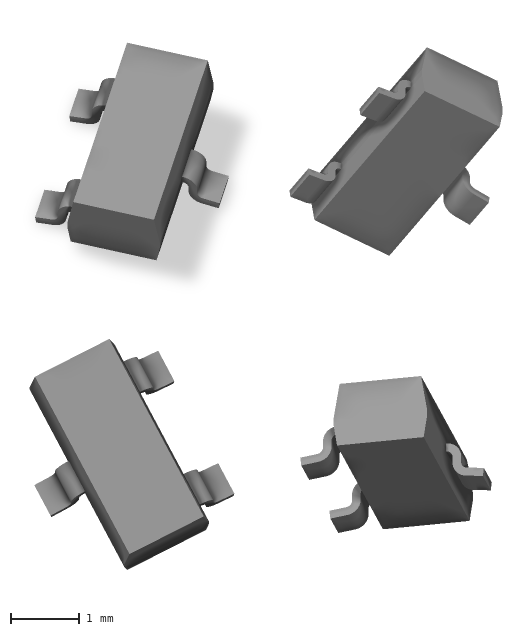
import cadquery as cq
import math

LENGTH = 3.0
BELT_WIDTH = 1.4
TOP_WIDTH = 1.225
BASE_WIDTH = 1.302
TOP_Z = 1.12
BASE_Z = 0.13

LEAD_SPAN = 2.54
LEAD_THICKNESS = 0.13
LEAD_WIDTH = 0.515
LEAD_PITCH = 0.95
LEAD_TOP_Z = 0.582
INNER_BEND_RADIUS = 0.1
SHANK_HEIGHT = 0.095
FOOT_ANGLE = math.radians(7)

BELT_TOP_Z = LEAD_TOP_Z
BELT_BOTTOM_Z = LEAD_TOP_Z - LEAD_THICKNESS

OUTER_BEND_RADIUS = INNER_BEND_RADIUS + LEAD_THICKNESS


def make_housing():
    """Six-sided end profile extruded over the full length."""
    profile = [
        (BASE_WIDTH / 2, BASE_Z),
        (BELT_WIDTH / 2, BELT_BOTTOM_Z),
        (BELT_WIDTH / 2, BELT_TOP_Z),
        (TOP_WIDTH / 2, TOP_Z),
    ]
    mirrored = [(-x, z) for x, z in reversed(profile)]
    return cq.Workplane("XZ").polyline(profile + mirrored).close().extrude(LENGTH / 2, both=True)


def around(center, radius, angle):
    """Point at the given angle (radians, from +X towards +Z) on a circle in XZ."""
    return (center[0] + radius * math.cos(angle), center[1] + radius * math.sin(angle))


def make_lead(side, y):
    """Lead touching the housing belt at side +1 (+X) or -1 (-X), centred at y."""
    upper_center = (BELT_WIDTH / 2, LEAD_TOP_Z - OUTER_BEND_RADIUS)
    shank_outer_x = upper_center[0] + OUTER_BEND_RADIUS
    shank_inner_x = upper_center[0] + INNER_BEND_RADIUS
    shank_bottom_z = upper_center[1] - SHANK_HEIGHT
    lower_center = (shank_outer_x + INNER_BEND_RADIUS, shank_bottom_z)

    bend_end = 1.5 * math.pi - FOOT_ANGLE
    bend_middle = (math.pi + bend_end) / 2
    foot_top_start = around(lower_center, INNER_BEND_RADIUS, bend_end)
    foot_bottom_start = around(lower_center, OUTER_BEND_RADIUS, bend_end)
    foot_run = LEAD_SPAN / 2 - foot_top_start[0]
    foot_drop = foot_run * math.tan(FOOT_ANGLE)
    foot_top_tip = (foot_top_start[0] + foot_run, foot_top_start[1] - foot_drop)
    foot_bottom_tip = (foot_bottom_start[0] + foot_run, foot_bottom_start[1] - foot_drop)

    lead = (
        cq.Workplane("XZ")
        .moveTo(BELT_WIDTH / 2, BELT_TOP_Z)
        .threePointArc(around(upper_center, OUTER_BEND_RADIUS, math.pi / 4), (shank_outer_x, upper_center[1]))
        .lineTo(shank_outer_x, shank_bottom_z)
        .threePointArc(around(lower_center, INNER_BEND_RADIUS, bend_middle), foot_top_start)
        .lineTo(*foot_top_tip)
        .lineTo(*foot_bottom_tip)
        .lineTo(*foot_bottom_start)
        .threePointArc(around(lower_center, OUTER_BEND_RADIUS, bend_middle), (shank_inner_x, shank_bottom_z))
        .lineTo(shank_inner_x, upper_center[1])
        .threePointArc(around(upper_center, INNER_BEND_RADIUS, math.pi / 4), (BELT_WIDTH / 2, BELT_BOTTOM_Z))
        .close()
        .extrude(LEAD_WIDTH / 2, both=True)
    )
    if side < 0:
        lead = lead.mirror("YZ")
    return lead.translate((0, y, 0))


housing = make_housing()

lead_places = [(-1, -LEAD_PITCH), (-1, LEAD_PITCH), (1, 0)]
leads = [make_lead(side, y) for side, y in lead_places]

result = cq.Compound.makeCompound([housing.val(), *[lead.val() for lead in leads]])